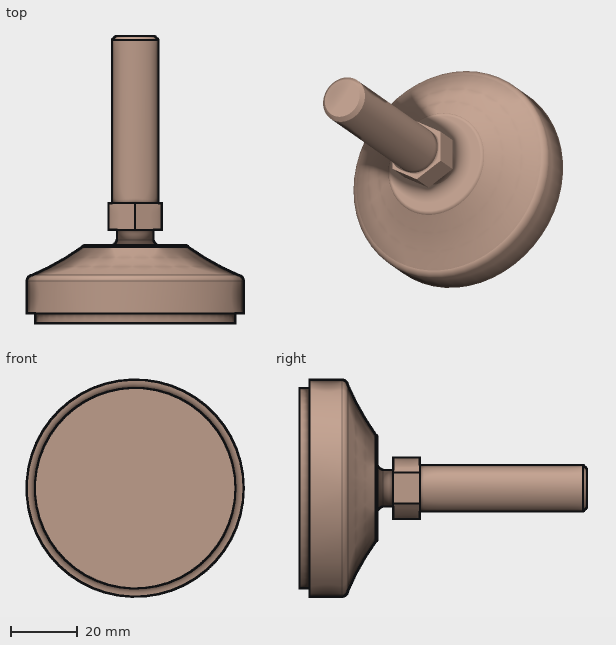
import cadquery as cq
import math


sole_height = 3.0
rim_top = 12.7
flank_start = 14.5
base_top = 23.4
neck_start = 25.0
hex_start = 28.0
hex_height = 8.0
total_length = 86.0

sole_diameter = 60.0
base_diameter = 65.0
crown_diameter = 32.0
crown_flat_diameter = 30.0
crown_round_height = 0.6
shoulder_diameter = 61.6
rim_bulge = 0.45
flank_sag = 0.45

neck_diameter = 11.0
flare_diameter = 13.4
flare_sag = 0.2
hex_across_flats = 16.0
rod_diameter = 14.0
rod_chamfer = 1.2


def hollow_midpoint(outer, inner, sag):
    """Middle point of an arc hollowed below its chord; a negative sag bulges it outwards."""
    run = outer[0] - inner[0]
    rise = inner[1] - outer[1]
    chord = math.hypot(run, rise)
    return (
        (outer[0] + inner[0]) / 2 - sag * rise / chord,
        (outer[1] + inner[1]) / 2 - sag * run / chord,
    )


def make_base():
    sole_radius = sole_diameter / 2
    base_radius = base_diameter / 2
    shoulder = (shoulder_diameter / 2, flank_start)
    crown_edge = (crown_diameter / 2, base_top - crown_round_height)
    crown_flat_edge = (crown_flat_diameter / 2, base_top)
    rim_middle = hollow_midpoint((base_radius, rim_top), shoulder, -rim_bulge)
    return (
        cq.Workplane("XY")
        .lineTo(0, base_top)
        .lineTo(*crown_flat_edge)
        .tangentArcPoint(crown_edge, relative=False)
        .threePointArc(hollow_midpoint(shoulder, crown_edge, flank_sag), shoulder)
        .threePointArc(rim_middle, (base_radius, rim_top))
        .lineTo(base_radius, sole_height)
        .lineTo(sole_radius, sole_height)
        .lineTo(sole_radius, 0)
        .close()
        .revolve(360, (0, 0, 0), (0, 1, 0))
    )


def make_neck():
    neck_radius = neck_diameter / 2
    flare_foot = (flare_diameter / 2, base_top)
    flare_top = (neck_radius, neck_start)
    return (
        cq.Workplane("XY")
        .moveTo(0, base_top)
        .lineTo(*flare_foot)
        .threePointArc(hollow_midpoint(flare_foot, flare_top, flare_sag), flare_top)
        .lineTo(neck_radius, hex_start)
        .lineTo(0, hex_start)
        .close()
        .revolve(360, (0, 0, 0), (0, 1, 0))
    )


def make_hex():
    """Hexagon with its flats facing +X and -X and its corners on the Z axis."""
    across_corners = hex_across_flats / math.cos(math.pi / 6)
    hexagon = cq.Workplane("XY").polygon(6, across_corners).extrude(hex_height)
    corners_up = hexagon.rotate((0, 0, 0), (1, 0, 0), -90).rotate((0, 0, 0), (0, 1, 0), 90)
    return corners_up.translate((0, hex_start, 0))


def make_rod():
    rod_start = hex_start + hex_height
    rod = cq.Workplane("XZ", origin=(0, rod_start, 0)).circle(rod_diameter / 2)
    return rod.extrude(rod_start - total_length).faces(">Y").chamfer(rod_chamfer)


result = make_base().union(make_neck()).union(make_hex()).union(make_rod())